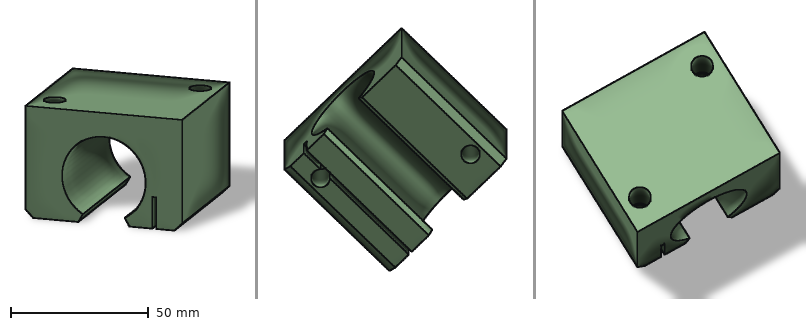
import cadquery as cq
import math

LENGTH = 60.0
DEPTH = 54.0
HEIGHT = 42.0
BOTTOM_CHAMFER = 3.0

BORE_DIAMETER = 32.0
BORE_HEIGHT = 17.0
MOUTH_HALF_ANGLE = 30.0

SLOT_WIDTH = 1.5
SLOT_HEIGHT = 12.0
SLOT_X = 19.3

HOLE_X = 22.5
HOLE_Y = 16.0
HOLE_DIAMETER = 6.8
COUNTERBORE_DIAMETER = 8.0
COUNTERBORE_DEPTH = 18.0


def make_block():
    block = cq.Workplane("XY").box(LENGTH, DEPTH, HEIGHT, centered=(True, True, False))
    lower_side_edges = block.faces("<Z").edges("|Y")
    return lower_side_edges.chamfer(BOTTOM_CHAMFER)


def front_plane():
    return cq.Workplane("XZ", origin=(0, DEPTH / 2, 0))


def make_bore():
    return front_plane().center(0, BORE_HEIGHT).circle(BORE_DIAMETER / 2).extrude(DEPTH)


def make_mouth():
    half_width = BORE_HEIGHT * math.tan(math.radians(MOUTH_HALF_ANGLE))
    corners = [(0, BORE_HEIGHT), (half_width, 0), (-half_width, 0)]
    return front_plane().polyline(corners).close().extrude(DEPTH)


def make_slot():
    slot = cq.Workplane("XY").box(SLOT_WIDTH, DEPTH, SLOT_HEIGHT, centered=(True, True, False))
    return slot.translate((SLOT_X, 0, 0))


block = make_block().cut(make_bore()).cut(make_mouth()).cut(make_slot())
result = (
    block.faces(">Z")
    .workplane(origin=(0, 0, HEIGHT))
    .pushPoints([(HOLE_X, HOLE_Y), (-HOLE_X, -HOLE_Y)])
    .cboreHole(HOLE_DIAMETER, COUNTERBORE_DIAMETER, COUNTERBORE_DEPTH)
)